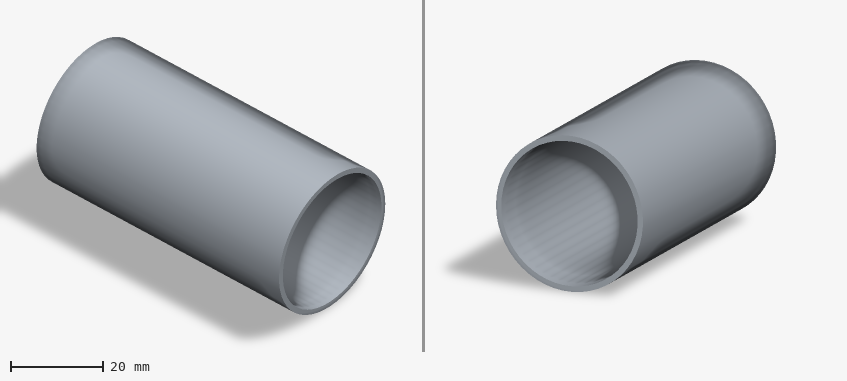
import cadquery as cq

length = 70.0
outer_diameter = 35.1
wall_thickness = 1.25

outer_radius = outer_diameter / 2
inner_radius = outer_radius - wall_thickness

result = (
    cq.Workplane("YZ", origin=(-length / 2, 0, 0))
    .circle(outer_radius)
    .circle(inner_radius)
    .extrude(length)
)